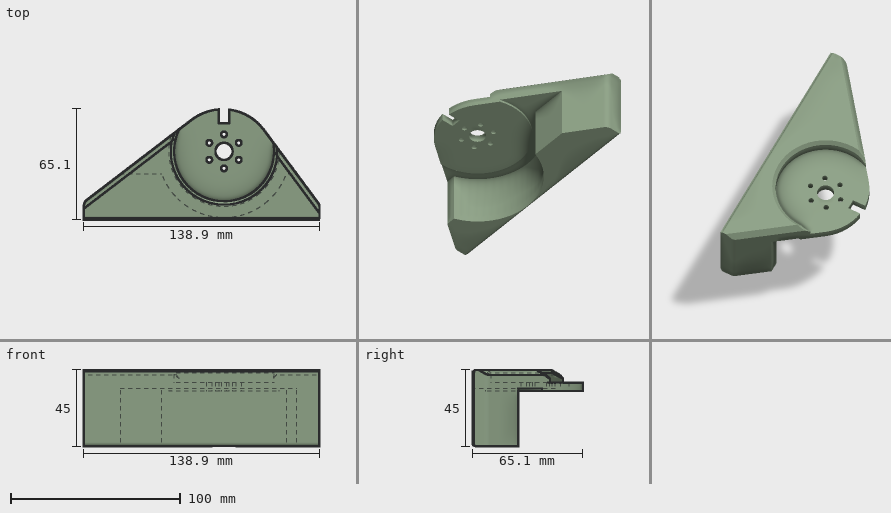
import cadquery as cq
import math

length = 138.94
height = 45.0

left_end_depth = 10.33
right_end_depth = 8.73
left_flank_angle = 37.4
right_flank_angle = 53.4
crown_radius = 30.0
end_corner_radius = 5.0
flank_chamfer = 3.0

wall_depth = 27.0
flange_thickness = 11.0
flange_bottom_z = height - flange_thickness

seat_x = 82.6
seat_y = 40.3
pocket_radius = 29.4
pocket_depth = 7.5
pocket_floor_z = height - pocket_depth
rim_chamfer = 2.0
boss_radius = 32.5
boss_height = 1.5
clearance_radius = 39.0

bore_diameter = 10.0
bolt_diameter = 3.2
bolt_circle_radius = 10.0
bolt_count = 6
first_bolt_angle = 90
slot_width = 6.0
slot_floor_y = 57.0

ledge_depth = 0.95
ledge_drop = 1.1
top_edge_radius = 1.05
bottom_edge_radius = 2.1
left_end_setback = 0.05
right_end_setback = 0.4

tolerance = 0.01


def box(x_range, y_range, z_range):
    """Box given by its limits along each axis."""
    sizes = [high - low for low, high in (x_range, y_range, z_range)]
    corner = (x_range[0], y_range[0], z_range[0])
    return cq.Workplane("XY").box(*sizes, centered=False).translate(corner)


def seat_cylinder(radius, bottom, top):
    """Upright cylinder on the seat axis between two heights."""
    return cq.Workplane("XY", origin=(seat_x, seat_y, bottom)).circle(radius).extrude(top - bottom)


def make_prism():
    """Full-height triangular prism with chamfered flanks, round crown and round end corners."""
    left_slope = math.tan(math.radians(left_flank_angle))
    right_slope = math.tan(math.radians(right_flank_angle))
    apex_x = (right_end_depth + right_slope * length - left_end_depth) / (left_slope + right_slope)
    apex_y = left_end_depth + left_slope * apex_x
    outline = [
        (0, 0),
        (length, 0),
        (length, right_end_depth),
        (apex_x, apex_y),
        (0, left_end_depth),
    ]
    sharp = cq.Workplane("XY").polyline(outline).close().extrude(height)
    rounded = sharp.edges("|Z").edges(">Y").fillet(crown_radius)
    end_corners = (
        (0, left_end_depth, height / 2),
        (length, right_end_depth, height / 2),
    )
    for corner in end_corners:
        rounded = rounded.edges(cq.selectors.NearestToPointSelector(corner)).fillet(end_corner_radius)
    chamfered = sharp.faces(">Z").edges("not (|X or |Y)").chamfer(flank_chamfer)
    return rounded.intersect(chamfered)


def shape_front_edges(body):
    """Step and round the top front edge, and round the bottom front edge."""
    body = body.cut(box((0, length), (0, ledge_depth), (height - ledge_drop, height)))
    top_edge = cq.selectors.NearestToPointSelector((length / 2, ledge_depth, height))
    body = body.edges(top_edge).fillet(top_edge_radius)
    bottom_edge = cq.selectors.NearestToPointSelector((length / 2, 0, 0))
    return body.edges(bottom_edge).fillet(bottom_edge_radius)


def set_back_front_ends(body):
    """Set the ends of the front layer slightly in from the ends of the wall."""
    layer = (0, ledge_depth)
    left = box((0, left_end_setback), layer, (0, height - flank_chamfer))
    right = box((length - right_end_setback, length), layer, (0, height))
    return body.cut(left).cut(right)


def is_rim_edge(edge):
    """True for an edge that lies on the pocket wall, at the top face or a flank chamfer."""
    on_wall = all(
        abs(math.hypot(point.x - seat_x, point.y - seat_y) - pocket_radius) < tolerance
        for point in edge.positions([0, 0.5, 1])
    )
    return on_wall and edge.BoundingBox().zmin > height - flank_chamfer - tolerance


def cut_pocket(body):
    """Sink the seat pocket, then chamfer its rim across the top face and flank chamfers."""
    body = body.cut(seat_cylinder(pocket_radius, pocket_floor_z, height))
    rim = [edge for edge in body.edges("not |Z").vals() if is_rim_edge(edge)]
    return body.newObject(rim).chamfer(rim_chamfer)


def cut_underside(body):
    """Clear the space behind the wall and around the boss, leaving the flange."""
    behind_wall = box((0, length), (wall_depth, length), (0, flange_bottom_z))
    clearance = seat_cylinder(clearance_radius, 0, flange_bottom_z)
    boss = seat_cylinder(boss_radius, flange_bottom_z - boss_height, flange_bottom_z)
    return body.cut(behind_wall.union(clearance).cut(boss))


def cut_seat_openings(body):
    """Bore, bolt circle and open-ended slot through the seat."""
    bore = seat_cylinder(bore_diameter / 2, 0, height)
    bolts = (
        cq.Workplane("XY", origin=(seat_x, seat_y, 0))
        .polarArray(bolt_circle_radius, first_bolt_angle, 360, bolt_count)
        .circle(bolt_diameter / 2)
        .extrude(height)
    )
    slot_x = (seat_x - slot_width / 2, seat_x + slot_width / 2)
    slot = box(slot_x, (slot_floor_y, length), (0, height))
    return body.cut(bore).cut(bolts).cut(slot)


result = make_prism()
result = cut_pocket(result)
result = shape_front_edges(result)
result = set_back_front_ends(result)
result = cut_underside(result)
result = cut_seat_openings(result)